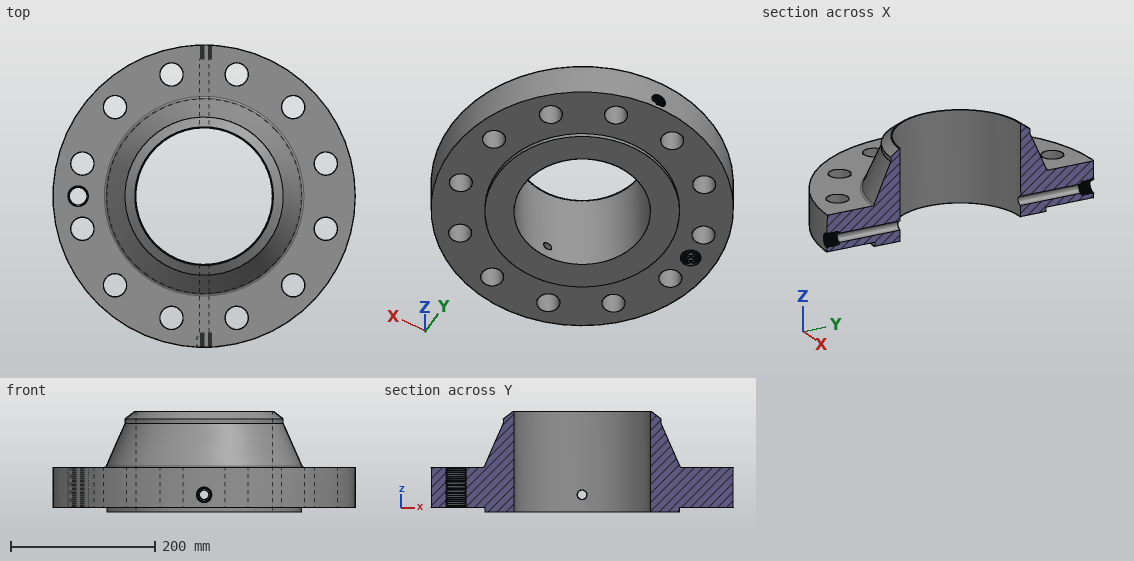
import cadquery as cq
import math


flange_diameter = 419.0
flange_thickness = 55.7
raised_face_diameter = 270.0
raised_face_height = 6.3
flange_top = raised_face_height + flange_thickness

overall_height = 139.5
bore_diameter = 189.0
hub_base_diameter = 273.0
hub_fillet_radius = 3.0
neck_diameter = 219.0
neck_straight_length = 6.3
weld_land_width = 1.6
weld_bevel_angle = 37.5

bolt_count = 12
bolt_hole_diameter = 32.0
bolt_circle_diameter = 349.0
bolt_pitch_angle = 360 / bolt_count

jack_major_diameter = 28.5
jack_minor_diameter = 24.5
jack_pitch = 3.65

tap_height = 24.0
tap_major_diameter = 21.5
tap_thread_depth = 1.45
tap_pitch = 1.8
tap_thread_count = 11
tap_taper = 1 / 16
tap_passage_diameter = 13.0

passage_overrun = 4.0


def make_body():
    """Join the plate, raised face and hub with its weld end, without the bore."""
    neck_radius = neck_diameter / 2
    land_radius = bore_diameter / 2 + weld_land_width
    bevel_height = (neck_radius - land_radius) * math.tan(math.radians(weld_bevel_angle))
    bevel_start = overall_height - bevel_height
    neck_start = bevel_start - neck_straight_length

    plate = cq.Workplane("XY").workplane(offset=raised_face_height)
    plate = plate.circle(flange_diameter / 2).extrude(flange_thickness)
    raised_face = cq.Workplane("XY").circle(raised_face_diameter / 2).extrude(raised_face_height)
    hub = (
        cq.Workplane("XZ")
        .moveTo(0, flange_top)
        .lineTo(hub_base_diameter / 2, flange_top)
        .lineTo(neck_radius, neck_start)
        .lineTo(neck_radius, bevel_start)
        .lineTo(land_radius, overall_height)
        .lineTo(0, overall_height)
        .close()
        .revolve(360, (0, 0, 0), (0, 1, 0))
    )
    body = plate.union(raised_face).union(hub)
    hub_root = cq.selectors.BoxSelector(
        (-hub_base_diameter, -hub_base_diameter, flange_top - hub_fillet_radius),
        (hub_base_diameter, hub_base_diameter, flange_top + hub_fillet_radius),
    )
    return body.edges(hub_root).edges(cq.selectors.RadiusNthSelector(0)).fillet(hub_fillet_radius)


def make_thread_cutter(major_diameter, thread_depth, pitch, thread_count, taper=0.0):
    """Stack V-grooves along +Z from the origin, narrowing with height by the taper."""
    outline = cq.Workplane("XZ").lineTo(major_diameter / 2, 0)
    for index in range(thread_count):
        crest_height = (index + 0.5) * pitch
        root_height = (index + 1) * pitch
        crest_radius = (major_diameter - taper * crest_height) / 2 - thread_depth
        root_radius = (major_diameter - taper * root_height) / 2
        outline = outline.lineTo(crest_radius, crest_height).lineTo(root_radius, root_height)
    outline = outline.lineTo(0, thread_count * pitch).close()
    return outline.revolve(360, (0, 0, 0), (0, 1, 0))


def make_bolt_holes():
    """Bolt holes straddling the X and Y axes."""
    return (
        cq.Workplane("XY")
        .polarArray(bolt_circle_diameter / 2, bolt_pitch_angle / 2, 360, bolt_count)
        .circle(bolt_hole_diameter / 2)
        .extrude(flange_top)
    )


def make_jack_hole():
    """Threaded hole on the bolt circle at -X, cut from the top face down through the plate."""
    thread_depth = (jack_major_diameter - jack_minor_diameter) / 2
    thread_count = math.ceil(flange_thickness / jack_pitch)
    cutter = make_thread_cutter(jack_major_diameter, thread_depth, jack_pitch, thread_count)
    cutter = cutter.rotate((0, 0, 0), (1, 0, 0), 180)
    return cutter.translate((-bolt_circle_diameter / 2, 0, flange_top))


def make_pressure_tap():
    """Radial tap at -Y, threaded at the rim and drilled on into the bore."""
    rim_radius = flange_diameter / 2
    thread = make_thread_cutter(
        tap_major_diameter, tap_thread_depth, tap_pitch, tap_thread_count, tap_taper
    )
    passage_length = rim_radius - bore_diameter / 2 + passage_overrun
    passage = cq.Workplane("XY").circle(tap_passage_diameter / 2).extrude(passage_length)
    tap = thread.union(passage)
    return tap.rotate((0, 0, 0), (1, 0, 0), -90).translate((0, -rim_radius, tap_height))


result = make_body()
result = result.cut(cq.Workplane("XY").circle(bore_diameter / 2).extrude(overall_height))
result = result.cut(make_bolt_holes())
result = result.cut(make_jack_hole())

pressure_tap = make_pressure_tap()
for tap_angle in (0, 180):
    result = result.cut(pressure_tap.rotate((0, 0, 0), (0, 0, 1), tap_angle))